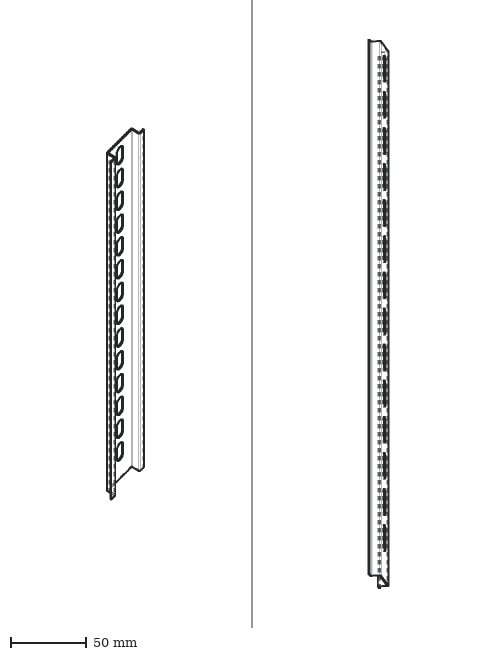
import cadquery as cq

rail_depth = 7.5
rail_width = 35.0
rail_length = 370.0

sheet_thickness = 1.0
channel_width = 27.0
inner_bend_radius = 0.5
outer_bend_radius = 1.0

slot_count = 14
slot_pitch = 25.0
slot_length = 18.0
slot_width = 6.3
slot_top_margin = 6.5


def make_rail():
    """Top-hat rail: the web lies at X = 0 and the flanges turn outward at X = rail_depth."""
    half_rail = rail_width / 2
    half_channel = channel_width / 2
    half_inside = half_channel - sheet_thickness
    flange_inner_face = rail_depth - sheet_thickness

    blank = (
        cq.Workplane("XY")
        .moveTo(0, -half_channel)
        .lineTo(flange_inner_face, -half_channel)
        .lineTo(flange_inner_face, -half_rail)
        .lineTo(rail_depth, -half_rail)
        .lineTo(rail_depth, -half_inside)
        .lineTo(sheet_thickness, -half_inside)
        .lineTo(sheet_thickness, half_inside)
        .lineTo(rail_depth, half_inside)
        .lineTo(rail_depth, half_rail)
        .lineTo(flange_inner_face, half_rail)
        .lineTo(flange_inner_face, half_channel)
        .lineTo(0, half_channel)
        .close()
        .extrude(rail_length)
    )
    outer_corners = [
        (0, half_channel),
        (rail_depth, half_inside),
    ]
    inner_corners = [
        (sheet_thickness, half_inside),
        (flange_inner_face, half_channel),
    ]
    rail = round_bends(blank, outer_corners, outer_bend_radius)
    return round_bends(rail, inner_corners, inner_bend_radius)


def round_bends(body, corners, radius):
    """Round the lengthwise edges at the given (x, y) corners and their mirror images in Y."""
    for x, y in corners:
        for side in (-1, 1):
            edge_middle = (x, side * y, rail_length / 2)
            body = body.edges(cq.selectors.NearestToPointSelector(edge_middle)).fillet(radius)
    return body


def make_slots():
    """Lengthwise obround cutters through the web, evenly spaced down from the top end."""
    top_slot_center = rail_length - slot_top_margin - slot_length / 2
    centers = [(0, top_slot_center - index * slot_pitch) for index in range(slot_count)]
    return (
        cq.Workplane("YZ")
        .pushPoints(centers)
        .slot2D(slot_length, slot_width, angle=90)
        .extrude(sheet_thickness)
    )


result = make_rail().cut(make_slots())